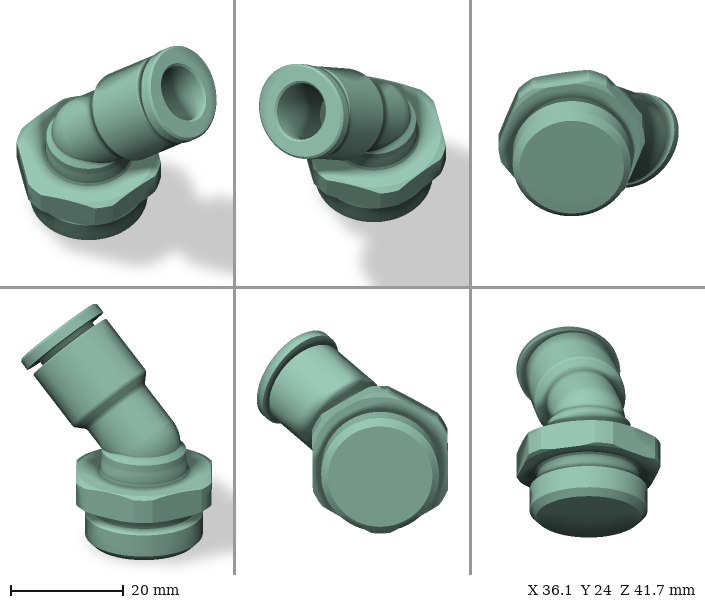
import cadquery as cq
import math

hex_across_flats = 24.0
hex_corner_radius = 13.0
hex_bottom = 8.5
hex_top = 13.5
hex_top_chamfer_height = 0.4
hex_top_chamfer_width = 1.12
hex_bottom_chamfer_height = 0.3
hex_bottom_chamfer_width = 0.8

stem_radius = 10.45
stem_chamfer = 1.2
stem_shoulder = 5.3
groove_radius = 9.15
groove_bottom = 6.0
groove_flare = 0.35

spigot_foot_radius = 8.12
spigot_base_radius = 7.8
spigot_radius = 7.5
spigot_foot_height = 0.4
spigot_taper_top = 16.1
spigot_shoulder = 17.5

elbow_height = 18.58
branch_angle = 45
neck_radius = 6.5
neck_length = 8.2
body_radius = 8.15
body_flare_round = 0.75
body_end = 21.6
body_end_chamfer = 0.15

collar_neck_radius = 5.8
collar_flange_start = 22.85
collar_face = 25.0
collar_half_width = 9.2
collar_half_height = 8.0
collar_chamfer = 0.37

socket_radius = 5.05
socket_chamfer = 0.37
socket_depth = 15.0


def revolve_profile(points):
    """Revolve (radius, height) points around the Z axis."""
    return cq.Workplane("XZ").polyline(points).close().revolve(360, (0, 0, 0), (0, 1, 0))


def make_stem():
    return revolve_profile([
        (0, 0),
        (stem_radius - stem_chamfer, 0),
        (stem_radius, stem_chamfer),
        (stem_radius, stem_shoulder),
        (groove_radius, groove_bottom),
        (groove_radius, hex_bottom - groove_flare),
        (groove_radius + groove_flare, hex_bottom),
        (0, hex_bottom),
    ])


def make_hex_collar():
    prism = (
        cq.Workplane("XY", origin=(0, 0, hex_bottom))
        .polygon(6, hex_across_flats / math.cos(math.radians(30)))
        .extrude(hex_top - hex_bottom)
    )
    blank = revolve_profile([
        (0, hex_bottom),
        (hex_corner_radius - hex_bottom_chamfer_width, hex_bottom),
        (hex_corner_radius, hex_bottom + hex_bottom_chamfer_height),
        (hex_corner_radius, hex_top - hex_top_chamfer_height),
        (hex_corner_radius - hex_top_chamfer_width, hex_top),
        (0, hex_top),
    ])
    return prism.intersect(blank)


def make_spigot():
    return revolve_profile([
        (0, hex_top),
        (spigot_foot_radius, hex_top),
        (spigot_base_radius, hex_top + spigot_foot_height),
        (spigot_radius, spigot_taper_top),
        (spigot_radius, spigot_shoulder),
        (neck_radius, elbow_height),
        (0, elbow_height),
    ])


def make_branch_body():
    flare = body_radius - neck_radius
    body = revolve_profile([
        (0, 0),
        (neck_radius, 0),
        (neck_radius, neck_length),
        (body_radius, neck_length + flare),
        (body_radius, body_end - body_end_chamfer),
        (body_radius - body_end_chamfer, body_end),
        (0, body_end),
    ])
    flare_zone = cq.selectors.BoxSelector(
        (-body_radius * 2, -body_radius * 2, neck_length - flare / 2),
        (body_radius * 2, body_radius * 2, neck_length + flare * 3 / 2),
    )
    return body.edges("%CIRCLE").edges(flare_zone).fillet(body_flare_round)


def make_release_collar():
    neck = (
        cq.Workplane("XY", origin=(0, 0, body_end))
        .circle(collar_neck_radius)
        .extrude(collar_flange_start - body_end)
    )
    flange = (
        cq.Workplane("XY", origin=(0, 0, collar_flange_start))
        .ellipse(collar_half_height, collar_half_width)
        .extrude(collar_face - collar_flange_start)
        .faces(">Z")
        .chamfer(collar_chamfer)
    )
    return neck.union(flange)


def make_socket():
    return revolve_profile([
        (0, collar_face - socket_depth),
        (socket_radius, collar_face - socket_depth),
        (socket_radius, collar_face - socket_chamfer),
        (socket_radius + socket_chamfer, collar_face),
        (0, collar_face),
    ])


def tilt_into_place(upright):
    """Lean an upright branch towards +X and move it to the elbow centre."""
    return upright.rotate((0, 0, 0), (0, 1, 0), branch_angle).translate((0, 0, elbow_height))


elbow = cq.Workplane("XY", origin=(0, 0, elbow_height)).sphere(neck_radius)
branch = make_branch_body().union(make_release_collar())
result = (
    make_stem()
    .union(make_hex_collar())
    .union(make_spigot())
    .union(elbow)
    .union(tilt_into_place(branch))
    .cut(tilt_into_place(make_socket()))
)